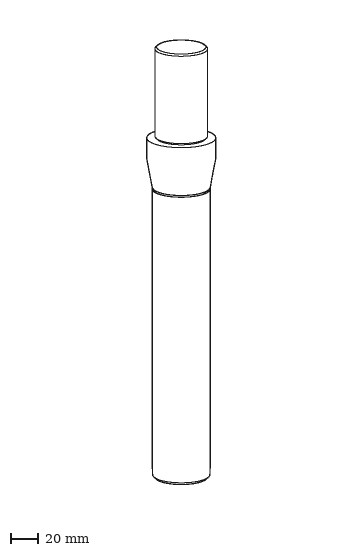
import cadquery as cq

TOTAL_HEIGHT = 329.2
COLLAR_TOP = 259.7
COLLAR_BOTTOM = 243.5
CONE_BOTTOM = 222.0

COLLAR_RADIUS = 25.5
SHANK_RADIUS = 21.5
PIN_RADIUS = 19.5

RELIEF_HEIGHT = 1.3
RELIEF_DEPTH = 0.3

LEAD_IN_HEIGHT = 8.5
LEAD_IN_TAPER = 0.3
FOOT_CHAMFER = 2.0

PIN_CHAMFER = 1.3


def make_pillar():
    """Collared pillar, revolved about Z: foot, lead-in, shank, relief, cone and collar."""
    lead_in_radius = SHANK_RADIUS - LEAD_IN_TAPER
    relief_radius = SHANK_RADIUS - RELIEF_DEPTH
    relief_bottom = CONE_BOTTOM - RELIEF_HEIGHT
    profile = [
        (0, 0),
        (lead_in_radius - FOOT_CHAMFER, 0),
        (lead_in_radius, FOOT_CHAMFER),
        (SHANK_RADIUS, LEAD_IN_HEIGHT),
        (SHANK_RADIUS, relief_bottom),
        (relief_radius, relief_bottom),
        (relief_radius, CONE_BOTTOM),
        (SHANK_RADIUS, CONE_BOTTOM),
        (COLLAR_RADIUS, COLLAR_BOTTOM),
        (COLLAR_RADIUS, COLLAR_TOP),
        (0, COLLAR_TOP),
    ]
    return cq.Workplane("XZ").polyline(profile).close().revolve(360, (0, 0), (0, 1))


def make_pin():
    """Cylindrical pin standing on the collar, chamfered at both ends."""
    return (
        cq.Workplane("XY", origin=(0, 0, COLLAR_TOP))
        .circle(PIN_RADIUS)
        .extrude(TOTAL_HEIGHT - COLLAR_TOP)
        .faces("<Z or >Z")
        .chamfer(PIN_CHAMFER)
    )


pillar = make_pillar()
pin = make_pin()

result = cq.Compound.makeCompound([pillar.val(), pin.val()])